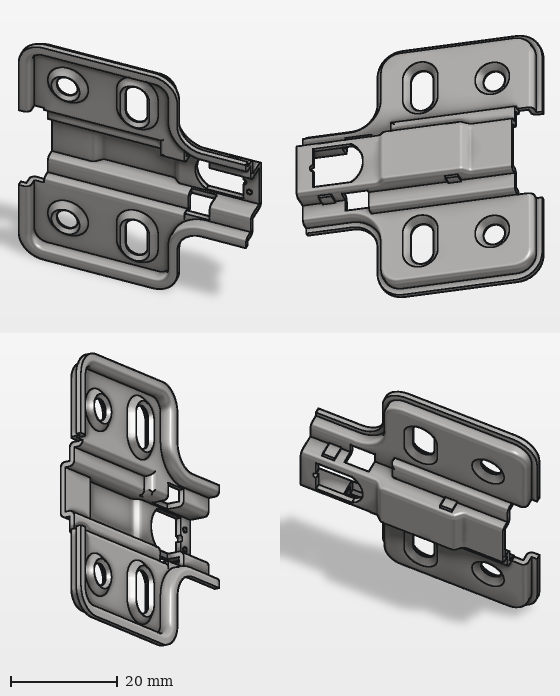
import cadquery as cq
import math


sheet = 1.1
bend_angle = math.radians(45)

plate_rear = 3.5
step_rear = 5.4
channel_left_rear = 7.4
channel_deep_rear = 8.9
channel_right_rear = 7.7
plate_front = plate_rear - sheet
step_front = step_rear - sheet

length = 46.0
height = 51.2
wing_width = 32.1
corner_radius = 5.0
arm_half_height = 10.05

side_flange = 1.15
end_flange = 1.3
wall_corner_radius = corner_radius - end_flange
wall_neck_radius = corner_radius + side_flange
step_half_height = 9.0

channel_start = 4.1
channel_half_inner = 4.35
channel_half_outer = channel_half_inner + sheet
upper_step_end = 28.45
deep_start = 12.1
deep_end = 27.95

window_start = 32.55
window_end = 37.65
window_half_height = 7.65
window_depth = 6.1

opening_start = 33.0
opening_end = 42.75
opening_half_height = 4.0
opening_radius = 4.65
notch_radius = 0.6

boss_x = 44.05
boss_z = 1.95
boss_radius = 0.5
boss_height = 0.2
pad_length = 2.5
pad_height = 0.3
left_pad_start = 14.5
right_pad_start = 39.55

screw_z = 16.1
hole_x = 9.0
hole_radius = 2.1
hole_rim_radius = 4.1
slot_x = 23.05
slot_radius = 2.2
slot_rim_radius = 4.2
slot_travel = 3.95
bore_land = 0.3


def front_plane(depth):
    """Workplane facing -Y at the given depth, drawn in X and Z."""
    return cq.Workplane("XZ", origin=(0, depth, 0))


def bar(x_start, x_end, y_start, y_end, z_start, z_end):
    size = (x_end - x_start, y_end - y_start, z_end - z_start)
    return cq.Workplane("XY").box(*size, centered=False).translate((x_start, y_start, z_start))


def both_halves(upper):
    return upper.union(upper.mirror("XY"))


def dish_layer(inset_x, inset_z, arm, arm_end, corner, neck, y_start, y_end):
    """Wing outline with rounded corners and necks, filled between two depths."""
    left = inset_x
    right = wing_width - inset_x
    top = height / 2 - inset_z
    outline = [
        (left, -top), (right, -top), (right, -arm), (arm_end, -arm),
        (arm_end, arm), (right, arm), (right, top), (left, top),
    ]
    layer = front_plane(y_end).polyline(outline).close().extrude(y_end - y_start)
    for x, z, radius in [(left, top, corner), (right, top, corner), (right, arm, neck)]:
        for side in (1, -1):
            corner_edge = cq.selectors.NearestToPointSelector((x, (y_start + y_end) / 2, side * z))
            layer = layer.edges("|Y").edges(corner_edge).fillet(radius)
    return layer


def dish():
    """Flange, dished wall and flat plate, before the channel is pressed in."""
    cavity_end = length + sheet
    blank_end = length + 4 * sheet
    flange = dish_layer(0, 0, arm_half_height, blank_end, corner_radius, corner_radius, 0, sheet)
    pan = dish_layer(
        side_flange, end_flange, step_half_height, blank_end,
        wall_corner_radius, wall_neck_radius, 0, plate_rear,
    )
    pan = pan.faces(">Y").edges().fillet(sheet)
    cavity = dish_layer(
        side_flange + sheet, end_flange + sheet, step_half_height - sheet, cavity_end,
        wall_corner_radius - sheet, wall_neck_radius + sheet, 0, plate_front,
    )
    body = flange.union(pan).cut(cavity)
    rim = body.faces("<Y").val().innerWires()[0]
    body = body.newObject(rim.Edges()).fillet(sheet)
    return body.cut(bar(length, blank_end, 0, plate_rear, -height / 2, height / 2))


def s_bend(path, x, y, rise):
    """Extend a path through two equal bends that shift it by rise along Y."""
    sign = math.copysign(1, rise)
    half = bend_angle / 2
    run = abs(rise) + 2 * sheet * (math.sin(bend_angle) + math.cos(bend_angle) - 1)
    arc_points = [
        (sheet * math.sin(angle), sign * sheet * (1 - math.cos(angle))) for angle in (half, bend_angle)
    ]
    (mid_x, mid_y), (end_x, end_y) = arc_points
    return (
        path.lineTo(x, y)
        .threePointArc((x + mid_x, y + mid_y), (x + end_x, y + end_y))
        .lineTo(x + run - end_x, y + rise - end_y)
        .threePointArc((x + run - mid_x, y + rise - mid_y), (x + run, y + rise))
    )


def channel_prism(half_height, setback, y_start):
    """Channel body whose floor lies setback ahead of the rear face."""
    shift = (sheet - setback) * math.tan(bend_angle / 2)
    left = channel_left_rear - setback
    deep = channel_deep_rear - setback
    right = channel_right_rear - setback
    path = cq.Workplane("XY", origin=(0, 0, -half_height)).moveTo(channel_start, y_start)
    path = path.lineTo(channel_start, left)
    path = s_bend(path, deep_start - shift, left, deep - left)
    path = s_bend(path, deep_end + shift, deep, right - deep)
    return path.lineTo(length, right).lineTo(length, y_start).close().extrude(2 * half_height)


def channel_outside():
    prism = channel_prism(channel_half_outer, 0, plate_front)
    floor_edges = cq.selectors.BoxSelector(
        (channel_start, step_rear, -height), (length, channel_deep_rear + sheet, height)
    )
    return prism.faces("|Z").edges(floor_edges).fillet(sheet)


def step_outside():
    upper = bar(channel_start, upper_step_end, plate_front, step_rear, 0, step_half_height)
    upper = upper.edges("(>Y and >Z) or (>X and >Y)").fillet(sheet)
    lower = bar(channel_start, window_start, plate_front, step_rear, -step_half_height, 0)
    lower = lower.edges(">Y and <Z").fillet(sheet)
    return upper.union(lower)


def flared_section(plane, start, wall, rim, floor):
    """Half groove section with a rounded rim, drawn as (across, depth)."""
    return (
        plane.moveTo(start, rim)
        .lineTo(wall + sheet, rim)
        .radiusArc((wall, rim + sheet), sheet)
        .lineTo(wall, floor)
        .lineTo(start, floor)
        .close()
    )


def groove(x_start, x_end, wall, rim, floor):
    """Upper half of a groove along X with a rounded rim."""
    plane = cq.Workplane("ZY", origin=(x_end, 0, 0))
    return flared_section(plane, 0, wall, rim, floor).extrude(x_end - x_start)


def half_hollow(x_closed, x_open):
    """Upper half of the hollow inside the step and the channel rims beside it."""
    trough = groove(channel_start, x_open, step_half_height - sheet, plate_front, step_front)
    if x_closed < x_open:
        end = flared_section(cq.Workplane("XY"), channel_start, x_closed, plate_front, step_front)
        trough = trough.intersect(end.extrude(step_half_height))
        corner = front_plane(step_rear).moveTo(x_closed, channel_half_inner)
        corner = corner.lineTo(x_open, channel_half_inner)
        corner = corner.radiusArc((x_closed, channel_half_outer), sheet).close()
        trough = trough.union(corner.extrude(step_rear - plate_front))
    floor = channel_left_rear - sheet
    beside_step = groove(channel_start, x_closed, channel_half_inner, step_front, floor)
    beside_plate = groove(x_closed, length, channel_half_inner, plate_front, floor)
    return trough.union(beside_step).union(beside_plate)


def hollow():
    upper = half_hollow(upper_step_end - sheet, upper_step_end)
    lower = half_hollow(window_start, window_start).mirror("XY")
    return channel_prism(channel_half_inner, sheet, 0).union(upper).union(lower)


def windows():
    return both_halves(
        bar(window_start, window_end, plate_front, window_depth, channel_half_inner, window_half_height)
    )


def floor_opening():
    arc_x = opening_start + opening_radius
    arc_x -= math.sqrt(opening_radius**2 - opening_half_height**2)
    plane = front_plane(channel_right_rear)
    slot = (
        plane.moveTo(opening_end, -opening_half_height)
        .lineTo(opening_end, opening_half_height)
        .lineTo(arc_x, opening_half_height)
        .threePointArc((opening_start, 0), (arc_x, -opening_half_height))
        .close()
        .extrude(sheet)
    )
    notch = plane.center(opening_end, 0).circle(notch_radius).extrude(sheet)
    return slot.union(notch)


def bosses():
    floor_front = channel_right_rear - sheet
    points = [(boss_x, boss_z), (boss_x, -boss_z)]
    return front_plane(floor_front).pushPoints(points).circle(boss_radius).extrude(boss_height)


def wall_pad(x_start, y_start, y_end):
    """Pad on the upper channel wall with a sloped rear end."""
    z_wall = channel_half_outer
    z_face = z_wall + pad_height
    section = [(y_start, z_wall), (y_start, z_face), (y_end - pad_height, z_face), (y_end, z_wall)]
    plane = cq.Workplane("YZ", origin=(x_start, 0, 0))
    return plane.polyline(section).close().extrude(pad_length)


def pads():
    left = wall_pad(left_pad_start, step_front, channel_deep_rear - sheet)
    right = wall_pad(right_pad_start, plate_front, channel_right_rear - sheet)
    return both_halves(left.union(right))


def cone(x, depth, radius, travel, rise, taper):
    """Round or slotted frustum growing towards -Y from the given depth."""
    plane = front_plane(depth).center(x, screw_z)
    if travel:
        outline = plane.slot2D(travel + 2 * radius, 2 * radius, 90)
    else:
        outline = plane.circle(radius)
    return outline.extrude(rise, taper=taper)


def press_screw_hole(body, x, bore_radius, rim_radius, travel):
    """Raise conical rims towards -Y around two mirrored screw holes and open the holes."""
    angle = math.degrees(bend_angle)
    lip = sheet * math.cos(bend_angle)
    rim_height = rim_radius - bore_radius - lip
    bore_depth = plate_front - rim_height + lip
    seat_rise = plate_rear - bore_depth - bore_land
    rim = cone(x, plate_front, rim_radius, travel, rim_height, angle)
    seat = cone(x, plate_rear, bore_radius + seat_rise, travel, seat_rise, angle)
    mouth = cone(x, bore_depth, bore_radius, travel, lip, -angle)
    bore = cone(x, plate_rear, bore_radius, travel, plate_rear - bore_depth, 0)
    body = body.union(both_halves(rim))
    for void in (seat, bore, mouth):
        body = body.cut(both_halves(void))
    return body


result = dish().union(step_outside()).union(channel_outside()).cut(hollow())
result = result.cut(bar(0, channel_start, 0, plate_rear, -step_half_height, step_half_height))
result = result.union(pads()).union(bosses()).cut(windows()).cut(floor_opening())
result = press_screw_hole(result, hole_x, hole_radius, hole_rim_radius, 0)
result = press_screw_hole(result, slot_x, slot_radius, slot_rim_radius, slot_travel)